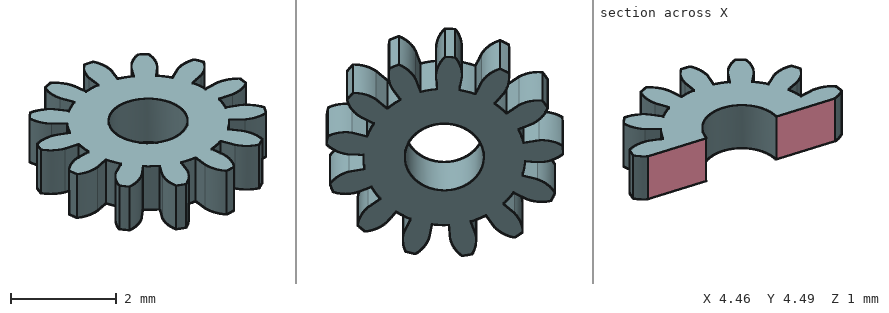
import cadquery as cq
import math

tooth_count = 13
thickness = 1.0
bore_diameter = 1.5
overall_width = 4.49
root_radius = 1.535

root_half_width = 0.21
shoulder_half_width = 0.245
crown_half_width = 0.215

shoulder_distance = 1.82
crown_distance = 2.03

tip_half_angle = 2.5
tooth_pitch_angle = 360 / tooth_count
nearest_tooth_angle = tooth_pitch_angle * (tooth_count // 4)
corner_offset_angle = math.radians(90 - nearest_tooth_angle - tip_half_angle)
tip_radius = overall_width / 2 / math.cos(corner_offset_angle)

root_overlap = 0.09


def make_hub():
    return cq.Workplane("XY").circle(root_radius).extrude(thickness)


def make_tooth():
    """Straight lower flanks, curved upper flanks and a tip on the outer circle."""
    root_distance = math.sqrt(root_radius**2 - root_half_width**2)
    tip_distance = tip_radius * math.cos(math.radians(tip_half_angle))
    tip_half_width = tip_radius * math.sin(math.radians(tip_half_angle))
    base_distance = root_distance - root_overlap
    return (
        cq.Workplane("XY")
        .moveTo(base_distance, -root_half_width)
        .lineTo(root_distance, -root_half_width)
        .lineTo(shoulder_distance, -shoulder_half_width)
        .threePointArc((crown_distance, -crown_half_width), (tip_distance, -tip_half_width))
        .threePointArc((tip_radius, 0), (tip_distance, tip_half_width))
        .threePointArc((crown_distance, crown_half_width), (shoulder_distance, shoulder_half_width))
        .lineTo(root_distance, root_half_width)
        .lineTo(base_distance, root_half_width)
        .close()
        .extrude(thickness)
    )


gear = make_hub()
tooth = make_tooth()
for index in range(tooth_count):
    angle = index * tooth_pitch_angle
    gear = gear.union(tooth.rotate((0, 0, 0), (0, 0, 1), angle))

result = gear.faces(">Z").workplane(origin=(0, 0, thickness)).hole(bore_diameter)